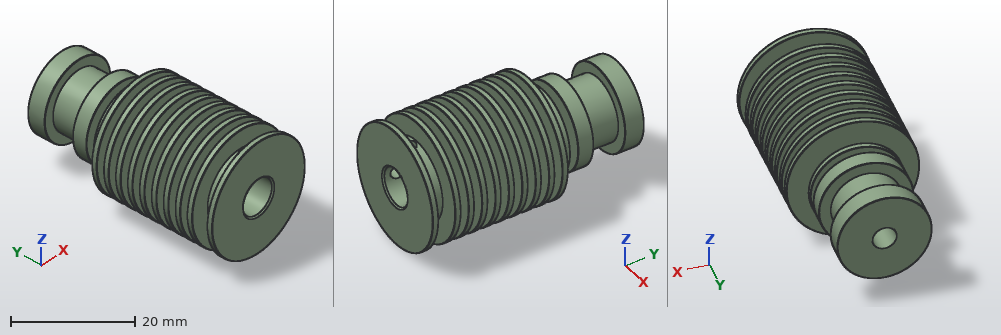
import cadquery as cq

length = 42.7

fin_diameter = 22.5
fin_thickness = 1.1
fin_count = 9
first_fin_y = 4.3
last_fin_y = 24.9
small_fin_y = 27.4
mount_diameter = 16.0
lower_collar_y = 30.0
lower_collar_top_y = 33.0
upper_collar_y = 39.03
edge_chamfer = 0.1

drum_diameter = 15.07
cone_base_diameter = 11.9
cone_tip_diameter = 9.25
neck_diameter = 8.95
groove_diameter = 12.0

filament_diameter = 4.1
socket_diameter = 7.0
socket_depth = 14.95
socket_chamfer = 0.3
grub_hole_diameter = 2.5

joint_overlap = fin_thickness / 2

cone_base_y = first_fin_y + fin_thickness
fin_pitch = (last_fin_y - first_fin_y) / (fin_count - 1)


def cylinder(diameter, start_y, end_y):
    """Cylinder on the Y axis between two stations."""
    plane = cq.Workplane("XZ", origin=(0, start_y, 0))
    return plane.circle(diameter / 2).extrude(start_y - end_y)


def disc(diameter, start_y, end_y):
    """Cylinder with both rims broken by a small chamfer."""
    return cylinder(diameter, start_y, end_y).edges("%CIRCLE").chamfer(edge_chamfer)


def cone(start_diameter, end_diameter, start_y, end_y):
    """Cone frustum on the Y axis between two stations."""
    outline = [
        (0, start_y),
        (start_diameter / 2, start_y),
        (end_diameter / 2, end_y),
        (0, end_y),
    ]
    return cq.Workplane("XY").polyline(outline).close().revolve(360, (0, 0), (0, 1))


body = cylinder(drum_diameter, fin_thickness - joint_overlap, first_fin_y + joint_overlap)
body = body.union(cone(cone_base_diameter, cone_tip_diameter, cone_base_y, last_fin_y))
body = body.union(cylinder(neck_diameter, last_fin_y, lower_collar_y + joint_overlap))
body = body.union(cylinder(groove_diameter, lower_collar_top_y - joint_overlap, upper_collar_y + joint_overlap))

fin_stations = [0] + [first_fin_y + i * fin_pitch for i in range(fin_count)]
for station in fin_stations:
    body = body.union(disc(fin_diameter, station, station + fin_thickness))

body = body.union(disc(mount_diameter, small_fin_y, small_fin_y + fin_thickness))
body = body.union(disc(mount_diameter, lower_collar_y, lower_collar_top_y))
body = body.union(disc(mount_diameter, upper_collar_y, length))

body = body.cut(cylinder(filament_diameter, 0, length))
body = body.cut(cylinder(socket_diameter, 0, socket_depth))
mouth_diameter = socket_diameter + 2 * socket_chamfer
body = body.cut(cone(mouth_diameter, socket_diameter, 0, socket_chamfer))

grub_y = (fin_thickness + first_fin_y) / 2
grub_radius = grub_hole_diameter / 2
top_hole = cq.Workplane("XY", origin=(0, grub_y, 0)).circle(grub_radius).extrude(drum_diameter)
side_hole = cq.Workplane("YZ", origin=(0, grub_y, 0)).circle(grub_radius).extrude(-drum_diameter)
result = body.cut(top_hole).cut(side_hole)